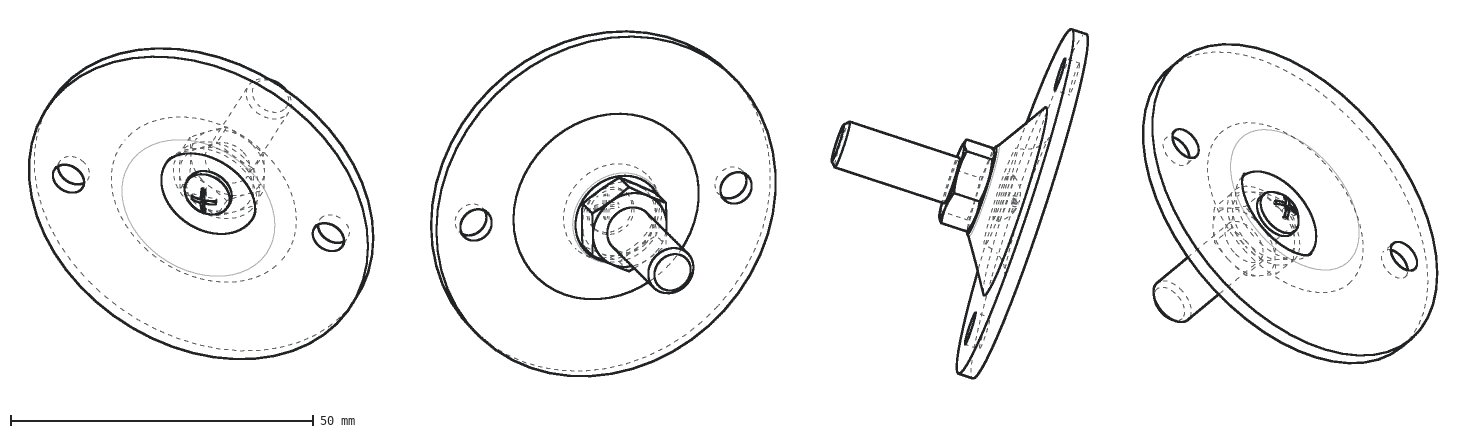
import cadquery as cq
import math

flange_diameter = 60.0
flange_thickness = 2.5
mount_hole_diameter = 5.5
mount_hole_offset = 23.0

cone_base_diameter = 32.75
cone_top_diameter = 15.95
cone_top_y = 8.0
hub_face_y = 8.35
hub_edge_bevel = 0.35

recess_floor_diameter = 17.0
recess_depth = 5.05
recess_mouth_diameter = recess_floor_diameter + 2 * recess_depth

nut_across_flats = 13.0
nut_corner_diameter = nut_across_flats / math.cos(math.pi / 6)
nut_end_y = 13.55
nut_chamfer_angle = math.radians(20)

stud_diameter = 8.0
stud_end_y = 33.5
stud_chamfer = 0.8

head_rim_height = 0.95
head_dome_height = 2.2
cross_length = 4.25
cross_width = 0.65
cross_depth = 1.1


def revolve_about_y(profile):
    """Close a half profile in the XY plane and turn it around the Y axis."""
    return profile.close().revolve(360, (0, 0, 0), (0, 1, 0))


def make_flange():
    blank = cq.Workplane("XZ").circle(flange_diameter / 2).extrude(-flange_thickness)
    holes = (
        cq.Workplane("XZ")
        .pushPoints([(-mount_hole_offset, 0), (mount_hole_offset, 0)])
        .circle(mount_hole_diameter / 2)
        .extrude(-flange_thickness)
    )
    return blank.cut(holes)


def make_hub():
    return revolve_about_y(
        cq.Workplane("XY")
        .lineTo(cone_base_diameter / 2, 0)
        .lineTo(cone_base_diameter / 2, flange_thickness)
        .lineTo(cone_top_diameter / 2, cone_top_y)
        .lineTo(cone_top_diameter / 2 - hub_edge_bevel, hub_face_y)
        .lineTo(0, hub_face_y)
    )


def make_recess():
    arc_center_x = recess_mouth_diameter / 2
    arc_mid_x = arc_center_x - recess_depth * math.cos(math.pi / 4)
    arc_mid_y = recess_depth * (1 - math.sin(math.pi / 4))
    return revolve_about_y(
        cq.Workplane("XY")
        .lineTo(recess_mouth_diameter / 2, 0)
        .threePointArc((arc_mid_x, arc_mid_y), (recess_floor_diameter / 2, recess_depth))
        .lineTo(0, recess_depth)
    )


def make_nut():
    height = nut_end_y - hub_face_y
    hexagon = (
        cq.Workplane("XZ", origin=(0, hub_face_y, 0))
        .transformed(rotate=(0, 0, 90))
        .polygon(6, nut_corner_diameter)
        .extrude(-height)
    )
    corner_radius = nut_corner_diameter / 2
    flat_radius = nut_across_flats / 2
    trim = (corner_radius - flat_radius) * math.tan(nut_chamfer_angle)
    envelope = revolve_about_y(
        cq.Workplane("XY")
        .moveTo(0, hub_face_y)
        .lineTo(flat_radius, hub_face_y)
        .lineTo(corner_radius, hub_face_y + trim)
        .lineTo(corner_radius, nut_end_y - trim)
        .lineTo(flat_radius, nut_end_y)
        .lineTo(0, nut_end_y)
    )
    return hexagon.intersect(envelope)


def make_stud():
    return (
        cq.Workplane("XZ", origin=(0, hub_face_y, 0))
        .circle(stud_diameter / 2)
        .extrude(hub_face_y - stud_end_y)
        .faces(">Y")
        .chamfer(stud_chamfer)
    )


def make_head():
    radius = stud_diameter / 2
    rim_y = recess_depth - head_rim_height
    apex_y = rim_y - head_dome_height
    dome_radius = (radius**2 + head_dome_height**2) / (2 * head_dome_height)
    arc_mid_x = radius / 2
    arc_mid_y = apex_y + dome_radius - math.sqrt(dome_radius**2 - arc_mid_x**2)
    head = revolve_about_y(
        cq.Workplane("XY")
        .moveTo(0, apex_y)
        .threePointArc((arc_mid_x, arc_mid_y), (radius, rim_y))
        .lineTo(radius, recess_depth)
        .lineTo(0, recess_depth)
    )
    for slot_x, slot_z in [(cross_length, cross_width), (cross_width, cross_length)]:
        slot = cq.Workplane("XZ").rect(slot_x, slot_z).extrude(-(apex_y + cross_depth))
        head = head.cut(slot)
    return head


plate = make_flange().union(make_hub()).cut(make_recess())
result = plate.union(make_nut()).union(make_stud()).union(make_head())